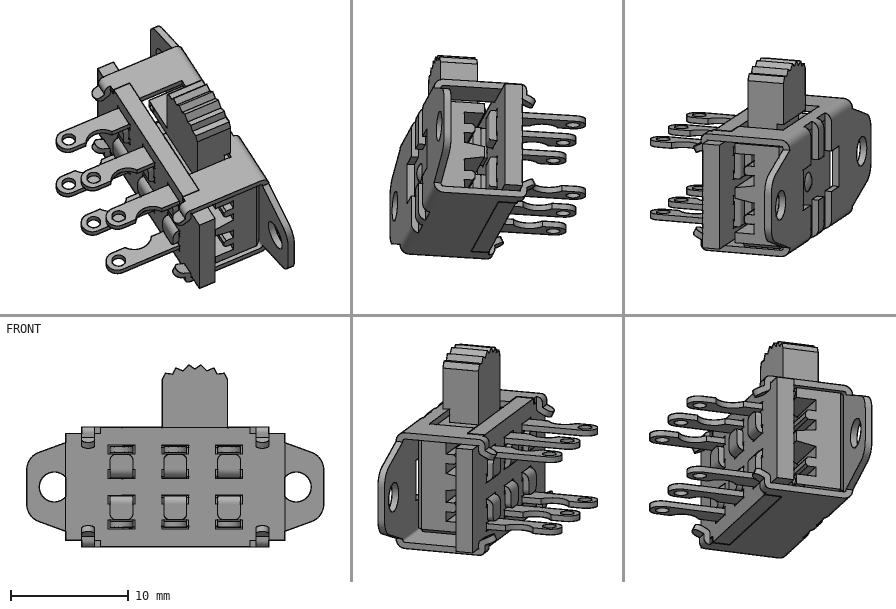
import cadquery as cq
import math


overall_length = 25.4
frame_length = 16.0
frame_height = 10.25
plate_thickness = 0.6
wall_thickness = 0.55
bend_radius = 0.85
wall_front_y = -7.5
inner_bend_radius = bend_radius - plate_thickness
half_frame = frame_length / 2
half_height = frame_height / 2
wall_inner_z = half_height - wall_thickness

ear_slope = 20.0
ear_corner_radius = 1.6
mount_hole_diameter = 2.55
mount_hole_x = 10.35

opening_length = 9.12
plate_opening_height = 3.55
detent_offset = 1.65
detent_slot_width = 1.98
knob_window_y = -1.83

base_length = 18.75
base_back_y = -5.9
base_front_y = -7.42
lip_length = 12.8
lip_top_z = 5.08
base_height = 2 * wall_inner_z

tab_width = 1.12
tab_bend_radius = 0.53
tab_knee_radius = 0.38
tab_tip_radius = 0.53
tab_knee_z = 4.22
tab_reach = 0.95
tab_droop = 26.0

terminal_pitch = 4.6
terminal_width = 1.95
terminal_thickness = 0.5
terminal_z = 3.2
terminal_tip_y = -13.8
terminal_hole_diameter = 1.17
terminal_hole_y = -12.7
notch_radius = 1.47
notch_depth = 0.7
notch_y = -10.3
contact_back_y = -5.28
contact_edge_radius = 0.2
clinch_bottom_z = 0.75
clinch_tip_z = 2.8
clinch_thickness = 0.53
clinch_bend_radius = 0.7
clinch_corner_radius = 0.5
slot_length = 2.29
slot_height = 0.75
clinch_slot_z = 1.1

slider_x = 1.68
slider_z = 0.08
slider_length = 12.25
slider_height = 8.75
slider_chamfer = 0.45
slider_web_y = -3.3
slider_front_y = -5.05
pocket_outer_z = 3.48
pocket_inner_z = 0.75
tooth_tip_z = 0.45
slider_top_z = slider_z + slider_height / 2
slider_bottom_z = slider_z - slider_height / 2
post_width = 0.85
post_front_y = -4.22
post_chamfer = 0.2
pad_back_y = -1.07
pad_front_y = -4.3
pad_length = 12.25
pip_diameter = 0.65
pip_height = 0.18
pip_spacing = 11.02
pip_z = 3.94
detent_diameter = 1.68
detent_height = 0.3

bridge_length = 6.15
bridge_shoulder_y = -4.6
bridge_slope_run = 1.27
bridge_height = 2.45
bridge_z = 2.13
bridge_slot_length = 1.32
bridge_slot_width = 0.38
bridge_slot_y = -4.01

knob_half_width = 2.8
knob_back_y = -1.83
neck_back_y = -2.45
neck_top_z = 5.6
knob_shoulder_z = 9.2
knob_ridges = [(2.51, 9.73), (1.9, 9.65), (1.63, 10.19), (1.02, 9.93), (0.5, 10.45)]
knob_center_valley = (0, 10.08)


def block(x0, x1, y0, y1, z0, z1):
    """Box between two opposite corners."""
    size = (abs(x1 - x0), abs(y1 - y0), abs(z1 - z0))
    center = ((x0 + x1) / 2, (y0 + y1) / 2, (z0 + z1) / 2)
    return cq.Workplane("XY").box(*size).translate(center)


def centered_block(length, y0, y1, z0, z1, x=0):
    """Box of a given X length centred at x."""
    return block(x - length / 2, x + length / 2, y0, y1, z0, z1)


def side_profile(points, length, x=0):
    """Extrude a (y, z) outline symmetrically along X about x."""
    return cq.Workplane("YZ").polyline(points).close().extrude(length / 2, both=True).translate((x, 0, 0))


def upper_and_lower(shape):
    """Shape together with its mirror image below the XY plane."""
    return shape.union(shape.mirror("XY"))


def make_channel():
    """U-section open towards -Y, bent from one sheet."""
    outer = centered_block(frame_length, 0, wall_front_y, -half_height, half_height)
    outer = outer.edges("|X and >Y").fillet(bend_radius)
    inner = centered_block(frame_length, -plate_thickness, wall_front_y, -wall_inner_z, wall_inner_z)
    inner = inner.edges("|X and >Y").fillet(inner_bend_radius)
    return outer.cut(inner)


def make_ears():
    """Flat plate that carries both ears and spans the back of the channel between them."""
    half_length = overall_length / 2
    root_z = half_height - bend_radius
    end_z = root_z - (half_length - half_frame) * math.tan(math.radians(ear_slope))
    outline = [
        (-half_frame, -root_z), (-half_length, -end_z), (-half_length, end_z), (-half_frame, root_z),
        (half_frame, root_z), (half_length, end_z), (half_length, -end_z), (half_frame, -root_z),
    ]
    ears = cq.Workplane("XZ").polyline(outline).close().extrude(plate_thickness)
    ears = ears.edges("|Y and (<X or >X)").fillet(ear_corner_radius)
    holes = (
        cq.Workplane("XZ")
        .pushPoints([(-mount_hole_x, 0), (mount_hole_x, 0)])
        .circle(mount_hole_diameter / 2)
        .extrude(plate_thickness)
    )
    return ears.cut(holes)


def make_crimp_tab():
    """Upper left tab: folds down over the base, then kicks outwards with a rounded tip."""
    angle = math.radians(tab_droop)
    along = (-math.cos(angle), -math.sin(angle))
    across = (math.sin(angle), -math.cos(angle))
    outer_y = wall_front_y - wall_thickness
    tip_outer = (outer_y + tab_reach * along[0], tab_knee_z + tab_reach * along[1])
    tip_inner = (tip_outer[0] + wall_thickness * across[0], tip_outer[1] + wall_thickness * across[1])
    inner_run = (wall_front_y - tip_inner[0]) / math.cos(angle)
    inner_knee = (wall_front_y, tip_inner[1] + inner_run * math.sin(angle))
    outline = [
        (wall_front_y, half_height), (outer_y, half_height), (outer_y, tab_knee_z),
        tip_outer, tip_inner, inner_knee,
    ]
    tab = side_profile(outline, tab_width)
    tab = tab.edges("|X").edges(">Z").edges("<Y").fillet(tab_bend_radius)
    knee = cq.selectors.NearestToPointSelector((0, inner_knee[0], inner_knee[1]))
    tab = tab.edges(knee).fillet(tab_knee_radius)
    tip_edge = ((tip_outer[0] + tip_inner[0]) / 2, (tip_outer[1] + tip_inner[1]) / 2)
    for side in (-1, 1):
        corner = cq.selectors.NearestToPointSelector((side * tab_width / 2, *tip_edge))
        tab = tab.edges(corner).fillet(tab_tip_radius)
    return tab.translate(((tab_width - frame_length) / 2, 0, 0))


def make_frame():
    frame = make_channel().union(make_ears())
    half_opening_z = plate_opening_height / 2
    frame = frame.cut(centered_block(opening_length, 0, -plate_thickness, -half_opening_z, half_opening_z))
    for x in (-detent_offset, detent_offset):
        frame = frame.cut(centered_block(detent_slot_width, 0, -plate_thickness, -half_height, half_height, x))
    frame = frame.cut(centered_block(opening_length, knob_window_y, wall_front_y, wall_inner_z, half_height))
    frame = frame.cut(centered_block(lip_length, base_back_y, wall_front_y, -half_height, half_height))
    tab = make_crimp_tab()
    tabs = upper_and_lower(tab.union(tab.mirror("YZ")))
    return frame.union(tabs)


def make_base():
    base = centered_block(base_length, base_back_y, base_front_y, -base_height / 2, base_height / 2)
    base = base.union(centered_block(lip_length, base_back_y, base_front_y, -lip_top_z, lip_top_z))
    for x in (-terminal_pitch, 0, terminal_pitch):
        for z in (-terminal_z, -clinch_slot_z, clinch_slot_z, terminal_z):
            z_range = (z - slot_height / 2, z + slot_height / 2)
            base = base.cut(centered_block(slot_length, base_back_y, base_front_y, *z_range, x))
    return base


def make_terminal():
    """Upper contact strip: terminal leg, rear web and a clinched lower leg."""
    half_width = terminal_width / 2
    top_z = terminal_z + terminal_thickness / 2
    leg_z = terminal_z - terminal_thickness / 2
    tip_center_y = terminal_tip_y + half_width
    leg = centered_block(terminal_width, contact_back_y, tip_center_y, leg_z, top_z)
    tip = cq.Workplane("XY", origin=(0, tip_center_y, leg_z)).circle(half_width)
    leg = leg.union(tip.extrude(terminal_thickness))
    hole = cq.Workplane("XY").center(0, terminal_hole_y).circle(terminal_hole_diameter / 2)
    leg = leg.cut(hole.extrude(top_z))
    notch_x = half_width + notch_radius - notch_depth
    notch = cq.Workplane("XY").center(notch_x, notch_y).circle(notch_radius)
    leg = leg.cut(notch.extrude(top_z))

    web = centered_block(terminal_width, contact_back_y, base_back_y, clinch_bottom_z, top_z)
    clinch_front_y = base_front_y - clinch_thickness
    clinch_leg_z = clinch_bottom_z + terminal_thickness
    clinch = centered_block(terminal_width, contact_back_y, clinch_front_y, clinch_bottom_z, clinch_leg_z)
    flap = centered_block(terminal_width, base_front_y, clinch_front_y, clinch_bottom_z, clinch_tip_z)
    flap = flap.edges("|Y and >Z").fillet(clinch_corner_radius)
    clinch = clinch.union(flap).edges("|X and <Y and <Z").fillet(clinch_bend_radius)
    strip = leg.union(web).union(clinch)
    return strip.faces(">Y").edges().fillet(contact_edge_radius)


def make_terminals():
    strip = make_terminal()
    pair = strip.union(strip.rotate((0, 0, 0), (0, 1, 0), 180))
    row = pair
    for x in (-terminal_pitch, terminal_pitch):
        row = row.union(pair.translate((x, 0, 0)))
    return row


def make_slider_body():
    half_slider = slider_height / 2
    upper_outline = [
        (-plate_thickness, half_slider), (slider_front_y, half_slider),
        (slider_front_y, pocket_outer_z), (slider_web_y, pocket_outer_z),
        (slider_web_y, pocket_inner_z), (slider_front_y, tooth_tip_z),
    ]
    lower_outline = [(y, -z) for y, z in reversed(upper_outline)]
    body = side_profile(upper_outline + lower_outline, slider_length, slider_x)
    body = body.edges("|Z and >Y").chamfer(slider_chamfer).translate((0, 0, slider_z))

    half_pad = pad_length / 2
    pad_ramp = wall_inner_z + slider_bottom_z
    pad_outline = [
        (slider_x - half_pad, slider_bottom_z), (slider_x + half_pad, slider_bottom_z),
        (slider_x + half_pad - pad_ramp, -wall_inner_z), (slider_x - half_pad + pad_ramp, -wall_inner_z),
    ]
    pad = cq.Workplane("XZ", origin=(0, pad_back_y, 0)).polyline(pad_outline).close()
    pad = pad.extrude(pad_back_y - pad_front_y)
    return body.union(pad)


def make_dome(base_diameter, height):
    """Spherical cap standing on Y = 0 and pointing to +Y."""
    radius = ((base_diameter / 2) ** 2 + height**2) / (2 * height)
    sphere = cq.Workplane("XY").sphere(radius).translate((0, height - radius, 0))
    return sphere.intersect(centered_block(2 * radius, 0, height, -radius, radius))


def make_slider_details():
    """Detent dome at the rear, guide pips at the front and posts inside the pockets."""
    details = make_dome(detent_diameter, detent_height).translate((slider_x, -plate_thickness, 0))
    pip = make_dome(pip_diameter, pip_height).rotate((0, 0, 0), (0, 0, 1), 180)
    for x in (slider_x - pip_spacing / 2, slider_x + pip_spacing / 2):
        for z in (slider_z - pip_z, slider_z + pip_z):
            details = details.union(pip.translate((x, slider_front_y, z)))

    post_z = (bridge_z - post_width / 2, bridge_z + post_width / 2)
    post = centered_block(slider_length, slider_web_y, post_front_y, *post_z, slider_x)
    post = post.edges("|X and <Y").chamfer(post_chamfer)
    return details.union(upper_and_lower(post))


def make_bridges():
    """Moving contacts: tapered bars with a slot along X around the slider posts."""
    half_length = bridge_length / 2
    top_half = half_length - bridge_slope_run
    outline = [
        (-half_length, contact_back_y), (-half_length, bridge_shoulder_y), (-top_half, slider_web_y),
        (top_half, slider_web_y), (half_length, bridge_shoulder_y), (half_length, contact_back_y),
    ]
    bridge = cq.Workplane("XY").polyline(outline).close().extrude(bridge_height / 2, both=True)
    slot = cq.Workplane("YZ").center(bridge_slot_y, 0).slot2D(bridge_slot_length, bridge_slot_width, 90)
    bridge = bridge.cut(slot.extrude(half_length, both=True))
    return upper_and_lower(bridge.translate((slider_x, 0, bridge_z)))


def make_knob():
    half_outline = [(knob_half_width, neck_top_z), (knob_half_width, knob_shoulder_z)] + knob_ridges
    mirrored = [(-x, z) for x, z in reversed(half_outline)]
    outline = half_outline + [knob_center_valley] + mirrored
    knob = cq.Workplane("XZ", origin=(slider_x, knob_back_y, 0)).polyline(outline).close()
    knob = knob.extrude(knob_back_y - slider_front_y)
    neck = centered_block(2 * knob_half_width, neck_back_y, slider_front_y, slider_top_z, neck_top_z, slider_x)
    return knob.union(neck)


result = make_frame().union(make_base()).union(make_terminals())
result = result.union(make_slider_body()).union(make_slider_details())
result = result.union(make_bridges()).union(make_knob())